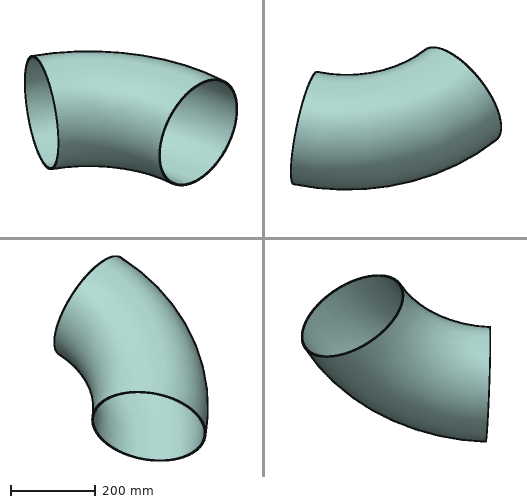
import cadquery as cq

OUTER_DIAMETER = 273.0
WALL_THICKNESS = 3.0
BEND_RADIUS = 381.0
BEND_ANGLE = 60.0

OUTER_RADIUS = OUTER_DIAMETER / 2
INNER_RADIUS = OUTER_RADIUS - WALL_THICKNESS


def make_elbow():
    """Sweep the pipe ring from the Y = 0 end about a vertical axis, bending toward +X."""
    ring = cq.Workplane("XZ").circle(OUTER_RADIUS).circle(INNER_RADIUS)
    axis_start = (BEND_RADIUS, OUTER_RADIUS)
    axis_end = (BEND_RADIUS, -OUTER_RADIUS)
    return ring.revolve(BEND_ANGLE, axis_start, axis_end)


result = make_elbow()